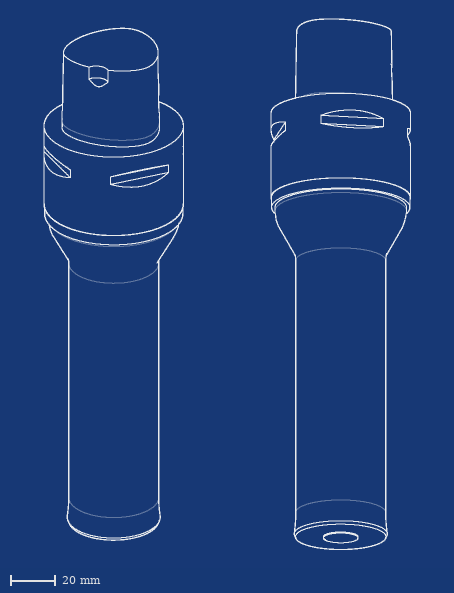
import cadquery as cq
import math

total_height = 238.0
shank_length = 38.0
shank_base_height = 3.3
shoulder_z = total_height - shank_length
joint_z = 160.2
flange_bottom_z = 155.5
neck_bottom_z = 153.7
head_top_z = 12.0
head_rim_top_z = 2.0
head_face_z = 0.5

collar_diameter = 63.0
groove_floor_distance = 28.0
groove_center_z = 188.0
groove_floor_height = 3.8
groove_flank_rise = 2.25
groove_count = 4
groove_first_angle = 45.0

shank_base_width = 44.0
shank_top_width = 42.8
lobe_height = 1.5
lobe_count = 3
outline_points = 48

notch_radius = 5.5
notch_axis_y = -22.5
notch_depth = 6.0
notch_tip_height = notch_radius

flange_diameter = 62.5
neck_diameter = 59.5
stem_diameter = 40.7
cone_angle = math.radians(30)
neck_blend_radius = 15.2
stem_blend_radius = 11.0
head_diameter = 42.1
head_face_diameter = 41.0
end_boss_diameter = 15.7


def lobed_outline(width):
    """Points of a three-lobed curve of constant width, found from its support distance."""
    points = []
    for i in range(outline_points):
        angle = 2 * math.pi * i / outline_points
        phase = lobe_count * (angle - math.pi / 2)
        distance = width / 2 + lobe_height * math.cos(phase)
        slope = -lobe_count * lobe_height * math.sin(phase)
        x = distance * math.cos(angle) - slope * math.sin(angle)
        y = distance * math.sin(angle) + slope * math.cos(angle)
        points.append((x, y))
    return points


def make_shank():
    """Straight lobed base with a lobed taper on top."""
    base_points = lobed_outline(shank_base_width)
    top_points = lobed_outline(shank_top_width)
    base = (
        cq.Workplane("XY", origin=(0, 0, shoulder_z))
        .spline(base_points, periodic=True).close()
        .extrude(shank_base_height)
    )
    taper = (
        cq.Workplane("XY", origin=(0, 0, shoulder_z + shank_base_height))
        .spline(base_points, periodic=True).close()
        .workplane(offset=shank_length - shank_base_height)
        .spline(top_points, periodic=True).close()
        .loft(ruled=True)
    )
    return base.union(taper, clean=False)


def make_key_notch():
    """Round cutter with a pointed tip, entering from the top of the shank."""
    notch_floor_z = total_height - notch_depth
    return (
        cq.Workplane("XZ")
        .moveTo(0, total_height)
        .lineTo(notch_radius, total_height)
        .lineTo(notch_radius, notch_floor_z)
        .lineTo(0, notch_floor_z - notch_tip_height)
        .close()
        .revolve(360, (0, 0), (0, 1))
        .translate((0, notch_axis_y, 0))
    )


def make_gripper_groove(angle):
    """Straight groove with sloping flanks, cut across the collar at the given angle."""
    collar_radius = collar_diameter / 2
    floor_half = groove_floor_height / 2
    mouth_half = floor_half + groove_flank_rise
    return (
        cq.Workplane("XZ")
        .moveTo(groove_floor_distance, groove_center_z - floor_half)
        .lineTo(collar_radius, groove_center_z - mouth_half)
        .lineTo(collar_radius, groove_center_z + mouth_half)
        .lineTo(groove_floor_distance, groove_center_z + floor_half)
        .close()
        .extrude(collar_radius, both=True)
        .rotate((0, 0, 0), (0, 0, 1), angle)
    )


def make_holder():
    """Round collar with gripper grooves, carrying the lobed shank."""
    holder = (
        cq.Workplane("XY", origin=(0, 0, joint_z))
        .circle(collar_diameter / 2)
        .extrude(shoulder_z - joint_z)
    )
    for i in range(groove_count):
        holder = holder.cut(make_gripper_groove(groove_first_angle + i * 360 / groove_count))
    return holder.union(make_shank(), clean=False).cut(make_key_notch())


def make_bar():
    """Turned bar: flange, neck, cone blended into the stem, and a flared head."""
    stem_radius = stem_diameter / 2
    neck_end = (neck_diameter / 2, neck_bottom_z)

    cone_top_radius = neck_end[0] - neck_blend_radius * (1 - math.cos(cone_angle))
    cone_top_z = neck_end[1] - neck_blend_radius * math.sin(cone_angle)
    cone_bottom_radius = stem_radius + stem_blend_radius * (1 - math.cos(cone_angle))
    cone_bottom_z = cone_top_z - (cone_top_radius - cone_bottom_radius) / math.tan(cone_angle)
    stem_top_z = cone_bottom_z - stem_blend_radius * math.sin(cone_angle)
    cone_curve = [
        neck_end,
        (cone_top_radius, cone_top_z),
        (cone_bottom_radius, cone_bottom_z),
        (stem_radius, stem_top_z),
    ]
    downward = (0, -1)

    head_radius = head_diameter / 2
    flare_width = head_radius - stem_radius
    flare_height = head_top_z - head_rim_top_z
    flare_angle = 2 * math.atan(flare_width / flare_height)
    flare_radius = flare_height / math.sin(flare_angle)
    flare_middle = (
        stem_radius + flare_radius * (1 - math.cos(flare_angle / 2)),
        head_top_z - flare_radius * math.sin(flare_angle / 2),
    )

    return (
        cq.Workplane("XZ")
        .moveTo(0, joint_z)
        .lineTo(flange_diameter / 2, joint_z)
        .lineTo(flange_diameter / 2, flange_bottom_z)
        .lineTo(neck_diameter / 2, flange_bottom_z)
        .lineTo(*neck_end)
        .spline(cone_curve, tangents=[downward, downward], includeCurrent=False)
        .lineTo(stem_radius, head_top_z)
        .threePointArc(flare_middle, (head_radius, head_rim_top_z))
        .lineTo(head_face_diameter / 2, head_face_z)
        .lineTo(end_boss_diameter / 2, head_face_z)
        .lineTo(end_boss_diameter / 2, 0)
        .lineTo(0, 0)
        .close()
        .revolve(360, (0, 0), (0, 1))
    )


holder = make_holder()
bar = make_bar()
result = cq.Compound.makeCompound([holder.solids().val(), bar.val()])